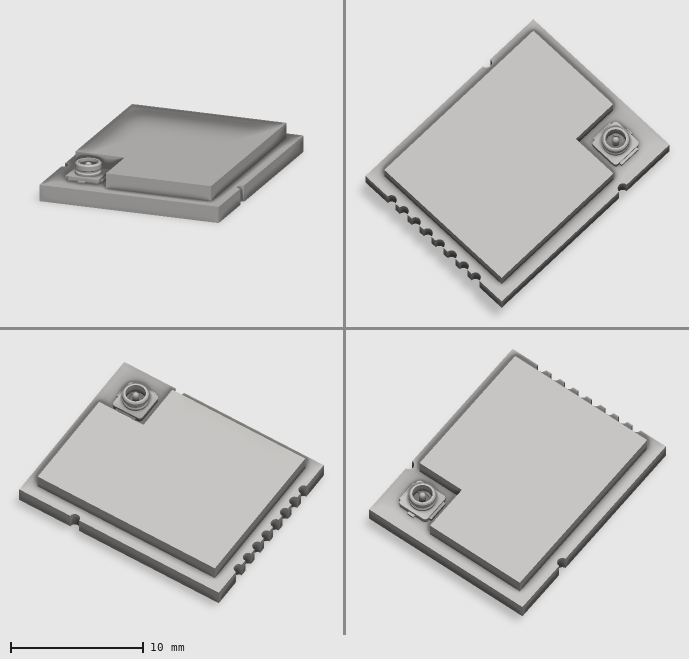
import cadquery as cq

board_width = 14.5
board_length = 18.0
board_height = 1.3
overall_height = 2.6

shield_margin = 1.0
shield_height = 1.2
shield_width = board_width - 2 * shield_margin
shield_length = board_length - 2 * shield_margin
corner_cut = 4.0

notch_diameter = 0.8
notch_pitch = 1.28
rear_notch_count = 8
side_notch_y = -board_length / 2 + shield_margin + corner_cut

connector_x = -4.4
connector_y = -6.1
base_side = 2.63
base_height = 0.4
base_corner_radius = 0.29
side_tab_span = 3.05
side_tab_length = 1.8
side_tab_height = 0.25
front_tab_width = 0.55
front_tab_reach = 0.22
front_tab_height = 0.18

barrel_radius = 2.0 / 2
groove_radius = 1.8 / 2
bore_radius = 1.55 / 2
barrel_height = overall_height - board_height
rim_chamfer = barrel_radius - groove_radius
groove_bottom = 0.55
groove_top = 0.85
groove_flank = 0.09

bore_floor = 0.49
well_radius = 0.55
well_floor = base_height
slot_width = 0.61
contact_slot_width = front_tab_width
contact_slot_floor = (bore_floor + well_floor) / 2
pin_radius = 0.5 / 2
pin_height = 1.26


def make_module():
    """Board and shield can as one body, with the edge notches cut."""
    board = cq.Workplane("XY").box(board_width, board_length, board_height, centered=(True, True, False))

    rear_notches = [
        ((i - (rear_notch_count - 1) / 2) * notch_pitch, board_length / 2) for i in range(rear_notch_count)
    ]
    side_notches = [(side * board_width / 2, side_notch_y) for side in (-1, 1)]
    notches = (
        cq.Workplane("XY")
        .pushPoints(rear_notches + side_notches)
        .circle(notch_diameter / 2)
        .extrude(board_height)
    )

    left, front = -shield_width / 2, -shield_length / 2
    shield = (
        cq.Workplane("XY", origin=(0, 0, board_height))
        .moveTo(left, -front)
        .lineTo(-left, -front)
        .lineTo(-left, front)
        .lineTo(left + corner_cut, front)
        .lineTo(left + corner_cut, front + corner_cut)
        .lineTo(left, front + corner_cut)
        .close()
        .extrude(shield_height)
    )
    return board.cut(notches).union(shield)


def make_base():
    """Rounded square base with solder tabs on both sides and at the front."""
    block = (
        cq.Workplane("XY")
        .box(base_side, base_side, base_height, centered=(True, True, False))
        .edges("|Z")
        .fillet(base_corner_radius)
    )
    side_tabs = cq.Workplane("XY").box(
        side_tab_span, side_tab_length, side_tab_height, centered=(True, True, False)
    )
    front_tab_length = base_side / 2 + front_tab_reach
    front_tab = (
        cq.Workplane("XY")
        .center(0, -front_tab_length / 2)
        .box(front_tab_width, front_tab_length, front_tab_height, centered=(True, True, False))
    )
    return block.union(side_tabs).union(front_tab)


def make_barrel():
    """Revolved barrel with a snap groove outside and a chamfered upper rim."""
    return (
        cq.Workplane("XZ")
        .moveTo(0, 0)
        .lineTo(barrel_radius, 0)
        .lineTo(barrel_radius, groove_bottom)
        .lineTo(groove_radius, groove_bottom + groove_flank)
        .lineTo(groove_radius, groove_top - groove_flank)
        .lineTo(barrel_radius, groove_top)
        .lineTo(barrel_radius, barrel_height - rim_chamfer)
        .lineTo(barrel_radius - rim_chamfer, barrel_height)
        .lineTo(bore_radius, barrel_height)
        .lineTo(bore_radius, bore_floor)
        .lineTo(0, bore_floor)
        .close()
        .revolve(360, (0, 0, 0), (0, 1, 0))
    )


def make_well():
    """Recess in the bore floor: a round well, a slot along X and a shallower contact slot toward -Y."""
    depth = bore_floor - well_floor
    floor = cq.Workplane("XY", origin=(0, 0, well_floor))
    bore = floor.circle(bore_radius).extrude(depth)
    well = floor.circle(well_radius).extrude(depth)
    cross_slot = floor.rect(2 * bore_radius, slot_width).extrude(depth)
    contact_slot = (
        cq.Workplane("XY", origin=(0, -bore_radius / 2, contact_slot_floor))
        .rect(contact_slot_width, bore_radius)
        .extrude(bore_floor - contact_slot_floor)
    )
    return well.union(cross_slot).union(contact_slot).intersect(bore)


def make_pin():
    """Centre contact with a hemispherical tip."""
    shoulder = pin_height - pin_radius
    shaft = cq.Workplane("XY").circle(pin_radius).extrude(shoulder)
    tip = cq.Workplane("XY", origin=(0, 0, shoulder)).sphere(pin_radius)
    return shaft.union(tip)


def make_connector():
    """Coaxial connector standing on the board in the cut-away shield corner."""
    body = make_base().union(make_barrel()).cut(make_well()).union(make_pin())
    return body.translate((connector_x, connector_y, board_height))


module = make_module()
connector = make_connector()

result = cq.Compound.makeCompound([module.val(), connector.val()])